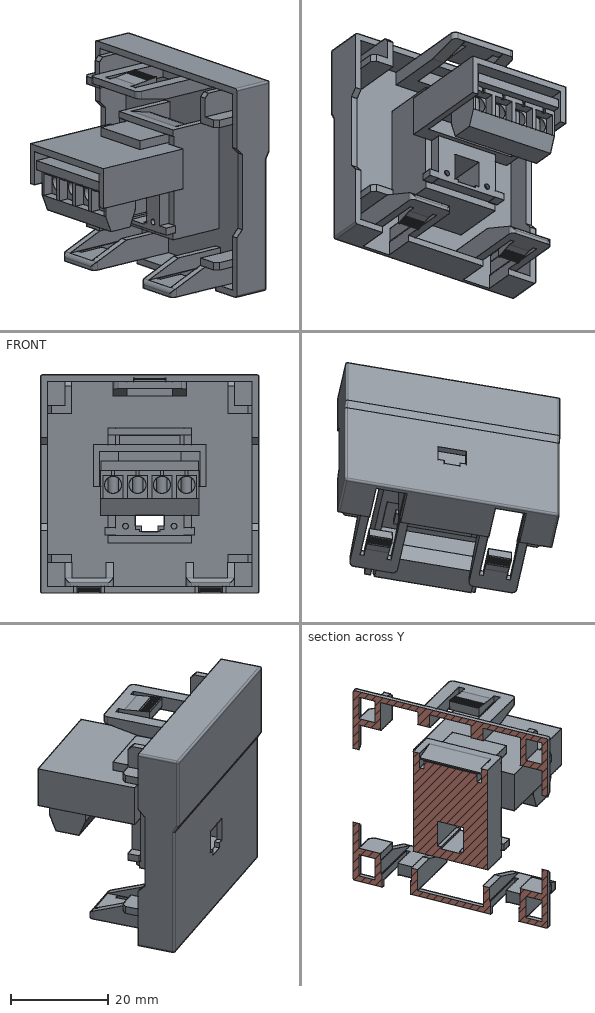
import cadquery as cq


cover_size = 45.0
half_cover = cover_size / 2
cover_wall = 1.4
half_pocket = half_cover - cover_wall
floor_y = 7.0
face_y_top = 9.0
face_y_bottom = 8.1
step_z_top = 7.35
step_z_bottom = 5.75
edge_round = 0.45
rim_notch_z = 9.6
rim_notch_depth = 1.5

bracket_tip_y = -4.3
bracket_length = 5.05
bracket_span = 6.55
bracket_thick = 1.6
bracket_post_thick = 1.45
bracket_chamfer = 0.9

top_latch_thick = 1.5
latch_corner_round = 1.05
top_latch_half_width = 7.55
top_latch_cheek_inner = 4.72
top_latch_tip_y = -14.1
top_latch_depth = 2.95
top_latch_taper_y = -6.3
top_latch_web_y = 3.15
top_slot_end_y = -12.3
top_tongue_half_width = 3.38
top_tongue_y = -5.4
top_tooth_length = 5.6
top_tooth_height = 0.68

bottom_latch_x = 12.5
bottom_latch_half_width = 5.0
bottom_latch_cheek = 1.55
bottom_latch_depth = 4.95
bottom_latch_tip_y = -13.15
bottom_latch_nose_y = -12.38
bottom_latch_thick = 1.75
bottom_latch_nose_bottom = 0.75
nose_bulge_inset = 0.3
nose_bulge_drop = 0.35
bottom_slot_half_width = 3.25
bottom_slot_end_y = -10.12
bottom_tongue_half_width = 2.45
bottom_tongue_y = -4.6
bottom_tooth_length = 3.95
bottom_tooth_height = 1.12
tongue_rib_pitch = 0.4
tongue_rib_count = 6
tongue_rib_depth = 0.2
tongue_rib_margin = 0.22

housing_half_width = 8.65
housing_top = 11.5
housing_bottom = -12.15
housing_end_y = -5.4
housing_side_end_y = -5.2
housing_wall = 1.58
housing_roof = 1.45
ramp_front_y = -3.45
ramp_back_y = 1.8
ramp_drop = 1.25

jack_half_width = housing_half_width - housing_wall
jack_end_y = -7.8
jack_back_y = 1.8
jack_flange_half_width = 9.22
jack_flange_top = -9.0
jack_flange_bottom = -10.55
window_half_width = 2.95
window_top = -3.6
window_step_z = -9.35
window_bottom = -9.8
window_slot_half_width = 2.1
cover_window_step_z = -8.65
cover_window_slot_half_width = 1.65
jack_hole_x = 5.0
jack_hole_z = -8.7
jack_hole_radius = 0.6
jack_hole_depth = 0.9
tab_half_width = 6.2
tab_height = 1.9
tab_end_y = -12.35

box_half_width = 11.6
box_top = 8.1
box_bottom = -0.5
box_back_y = -5.25
box_end_y = -26.8
box_roof = 1.45
box_wall = 1.3
box_back_wall = 3.6
box_window_half_width = 6.5
box_window_depth = 0.9

board_half_width = 10.0
board_top = 4.75
board_bottom = 2.8
board_end_y = -26.55
block_half_width = 10.12
block_back_y = -16.88
block_front_y = -24.9
block_taper_z = -2.95
block_bottom = -6.5
block_taper = 1.45
terminal_count = 4
terminal_pitch = 5.05
well_width = 4.1
well_top = 1.75
well_depth = 2.15
wire_hole_z = -0.2
wire_hole_radius = 1.75
wire_hole_depth = 2.7
screw_radius = 1.1
key_slot_width = 0.55
key_slot_depth = 0.45


def block(x0, x1, y0, y1, z0, z1):
    return cq.Workplane("XY").box(x1 - x0, y1 - y0, z1 - z0, centered=False).translate((x0, y0, z0))


def side_profile(points, x0, x1):
    """Extrude a (y, z) outline along X."""
    return cq.Workplane("YZ").polyline(points).close().extrude(x1 - x0).translate((x0, 0, 0))


def mirrored(solid):
    return solid.union(solid.mirror("YZ"))


def make_cover():
    body = side_profile(
        [
            (0, -half_cover),
            (face_y_bottom, -half_cover),
            (face_y_bottom, step_z_bottom),
            (face_y_top, step_z_top),
            (face_y_top, half_cover),
            (0, half_cover),
        ],
        -half_cover,
        half_cover,
    )
    body = body.edges("|Y").fillet(edge_round)
    front_edges = cq.selectors.BoxSelector(
        (-cover_size, floor_y, -cover_size), (cover_size, cover_size, cover_size)
    )
    step_edges = cq.selectors.BoxSelector(
        (-edge_round, floor_y, step_z_bottom - edge_round),
        (edge_round, cover_size, step_z_top + edge_round),
    )
    body = body.edges(front_edges - step_edges).fillet(edge_round)
    pocket = block(-half_pocket, half_pocket, 0, floor_y, -half_pocket, half_pocket)
    notch = side_profile(
        [
            (0, -rim_notch_z),
            (rim_notch_depth, -rim_notch_z + rim_notch_depth),
            (rim_notch_depth, rim_notch_z - rim_notch_depth),
            (0, rim_notch_z),
        ],
        -half_cover,
        half_cover,
    )
    return body.cut(pocket).cut(notch)


def make_bracket():
    """L-shaped spacer in the upper left corner."""
    outer = -half_pocket
    post = block(
        outer + bracket_length - bracket_post_thick, outer + bracket_length, bracket_tip_y, floor_y,
        half_pocket - bracket_span, half_pocket,
    )
    shelf = block(
        outer, outer + bracket_length, bracket_tip_y, floor_y,
        half_pocket - bracket_span, half_pocket - bracket_span + bracket_thick,
    )
    post = post.faces("<Y").edges(">Z").chamfer(bracket_chamfer)
    shelf = shelf.faces("<Y").edges("<X").chamfer(bracket_chamfer)
    return post.union(shelf)


def make_tooth(center_x, half_width, back_y, length, height):
    """Ribbed locking tooth on a tongue, standing on z = 0 and pointing up."""
    tooth = side_profile(
        [(back_y, 0), (back_y, height), (back_y - length, 0)],
        center_x - half_width,
        center_x + half_width,
    )
    slope = height / length
    for i in range(tongue_rib_count):
        y = back_y - i * tongue_rib_pitch
        groove = side_profile(
            [
                (y, height - i * tongue_rib_pitch * slope - tongue_rib_depth),
                (y, height),
                (y - tongue_rib_pitch, height - (i + 1) * tongue_rib_pitch * slope),
            ],
            center_x - half_width + tongue_rib_margin,
            center_x + half_width - tongue_rib_margin,
        )
        tooth = tooth.cut(groove)
    return tooth


def make_top_latch():
    low = half_pocket - top_latch_depth
    plate_low = half_pocket - top_latch_thick
    width = top_latch_half_width
    latch = side_profile(
        [
            (floor_y, half_pocket),
            (floor_y, low),
            (top_latch_taper_y, low),
            (top_latch_tip_y, plate_low),
            (top_latch_tip_y, half_pocket),
        ],
        -width,
        width,
    )
    latch = latch.edges("|Z and <Y").fillet(latch_corner_round)
    inner = top_latch_cheek_inner
    latch = latch.cut(block(-inner, inner, top_latch_tip_y, top_latch_web_y, low, plate_low))
    latch = latch.cut(block(-inner, inner, top_slot_end_y, top_latch_web_y, low, half_pocket))
    tongue_width = top_tongue_half_width
    tongue = block(-tongue_width, tongue_width, top_slot_end_y, top_tongue_y, plate_low, half_pocket)
    tooth = make_tooth(0, tongue_width, top_tongue_y, top_tooth_length, top_tooth_height)
    return latch.union(tongue).union(tooth.translate((0, 0, half_pocket)))


def make_bottom_latch():
    """Lower left latch: a plate between two tapered cheeks, with a toothed tongue."""
    base = -half_pocket
    plate_top = base + bottom_latch_thick
    left = -bottom_latch_x - bottom_latch_half_width
    right = -bottom_latch_x + bottom_latch_half_width
    nose_top = (bottom_latch_nose_y, plate_top)
    nose_bottom = (bottom_latch_tip_y, base + bottom_latch_nose_bottom)
    nose_middle = (bottom_latch_tip_y + nose_bulge_inset, plate_top - nose_bulge_drop)
    profile = (
        cq.Workplane("YZ")
        .moveTo(floor_y, base)
        .lineTo(floor_y, base + bottom_latch_depth)
        .lineTo(bracket_tip_y, base + bottom_latch_depth)
        .lineTo(*nose_top)
        .threePointArc(nose_middle, nose_bottom)
        .lineTo(bottom_latch_tip_y, base)
        .close()
    )
    latch = profile.extrude(right - left).translate((left, 0, 0))
    plan = block(left, right, bottom_latch_tip_y, floor_y, base, base + bottom_latch_depth)
    latch = latch.intersect(plan.edges("|Z and <Y").fillet(latch_corner_round))
    trough = block(
        left + bottom_latch_cheek, right - bottom_latch_cheek, bottom_latch_tip_y, floor_y,
        plate_top, base + bottom_latch_depth,
    )
    latch = latch.cut(trough)
    slot_width = bottom_slot_half_width
    slot = block(-slot_width, slot_width, bottom_slot_end_y, floor_y, base, plate_top)
    latch = latch.cut(slot.translate((-bottom_latch_x, 0, 0)))
    tongue_width = bottom_tongue_half_width
    tongue = block(-tongue_width, tongue_width, bottom_slot_end_y, bottom_tongue_y, base, plate_top)
    tooth = make_tooth(0, tongue_width, bottom_tongue_y, bottom_tooth_length, bottom_tooth_height)
    tooth = tooth.mirror("XY").translate((0, 0, base))
    return latch.union(tongue.union(tooth).translate((-bottom_latch_x, 0, 0)))


def make_rim_slots():
    """Clearance through the lower rim beneath the toothed tongues."""
    width = bottom_slot_half_width
    slot = block(-width, width, 0, floor_y, -half_cover, -half_pocket)
    return mirrored(slot.translate((-bottom_latch_x, 0, 0)))


def make_housing():
    width = housing_half_width
    inner_top = housing_top - housing_roof
    shell = block(-width, width, housing_end_y, floor_y, housing_bottom, housing_top)
    cavity = block(
        -jack_half_width, jack_half_width, housing_end_y, floor_y,
        housing_bottom + housing_wall, inner_top,
    )
    side_recess = block(
        -width, width, housing_end_y, housing_side_end_y, housing_bottom + housing_wall, inner_top
    )
    roof_opening = side_profile(
        [
            (ramp_front_y, housing_top),
            (ramp_back_y, housing_top - ramp_drop),
            (ramp_back_y, inner_top),
            (floor_y, inner_top),
            (floor_y, housing_top),
        ],
        -jack_half_width,
        jack_half_width,
    )
    return shell.cut(cavity).cut(side_recess).cut(roof_opening)


def make_window(y0, y1, step_z, slot_half_width):
    wide = block(-window_half_width, window_half_width, y0, y1, step_z, window_top)
    return wide.union(block(-slot_half_width, slot_half_width, y0, y1, window_bottom, step_z))


def make_jack():
    width = jack_half_width
    body = block(-width, width, jack_end_y, jack_back_y, housing_bottom + housing_wall, box_top)
    flange = block(
        -jack_flange_half_width, jack_flange_half_width, jack_end_y, box_back_y,
        jack_flange_bottom, jack_flange_top,
    )
    tab = block(-tab_half_width, tab_half_width, tab_end_y, jack_back_y, box_top, box_top + tab_height)
    jack = body.union(flange).union(tab)
    for x in (-jack_hole_x, jack_hole_x):
        hole = cq.Workplane("XZ").circle(jack_hole_radius).extrude(-jack_hole_depth)
        jack = jack.cut(hole.translate((x, jack_end_y, jack_hole_z)))
    return jack.cut(make_window(jack_end_y, jack_back_y, window_step_z, window_slot_half_width))


def make_terminal_box():
    width = box_half_width
    inner_back_y = box_back_y - box_back_wall
    inner_width = width - box_wall
    inner_top = box_top - box_roof
    box = block(-width, width, box_end_y, box_back_y, box_bottom, box_top)
    box = box.cut(block(-inner_width, inner_width, box_end_y, inner_back_y, box_bottom, inner_top))
    window_width = box_window_half_width
    window_end_y = inner_back_y + box_window_depth
    return box.cut(block(-window_width, window_width, inner_back_y, window_end_y, board_top, inner_top))


def make_terminals():
    board = block(-board_half_width, board_half_width, board_end_y, box_back_y, board_bottom, board_top)
    terminals = side_profile(
        [
            (block_back_y, board_bottom),
            (block_back_y, block_taper_z),
            (block_back_y - block_taper, block_bottom),
            (block_front_y + block_taper, block_bottom),
            (block_front_y, block_taper_z),
            (block_front_y, board_bottom),
        ],
        -block_half_width,
        block_half_width,
    )
    well_back_y = block_front_y + well_depth
    hole_end_y = well_back_y + wire_hole_depth
    for i in range(terminal_count):
        x = (i - (terminal_count - 1) / 2) * terminal_pitch
        well = block(
            x - well_width / 2, x + well_width / 2, block_front_y, well_back_y, block_taper_z, well_top
        )
        key_slot = block(
            x - key_slot_width / 2, x + key_slot_width / 2,
            block_front_y, block_front_y + key_slot_depth, well_top, board_bottom,
        )
        wire_hole = cq.Workplane("XZ").circle(wire_hole_radius).extrude(-wire_hole_depth)
        wire_hole = wire_hole.translate((x, well_back_y, wire_hole_z))
        screw = cq.Workplane("XY").circle(screw_radius).extrude(board_bottom - block_taper_z)
        screw = screw.translate((x, hole_end_y - wire_hole_depth / 2, block_taper_z))
        terminals = terminals.cut(well).cut(key_slot).cut(wire_hole).union(screw)
    return board.union(terminals)


upper_bracket = make_bracket()
result = (
    make_cover()
    .cut(make_rim_slots())
    .union(mirrored(upper_bracket.union(upper_bracket.mirror("XY"))))
    .union(make_top_latch())
    .union(mirrored(make_bottom_latch()))
    .union(make_housing())
    .cut(make_window(floor_y, face_y_top, cover_window_step_z, cover_window_slot_half_width))
    .union(make_jack())
    .union(make_terminal_box())
    .union(make_terminals())
)